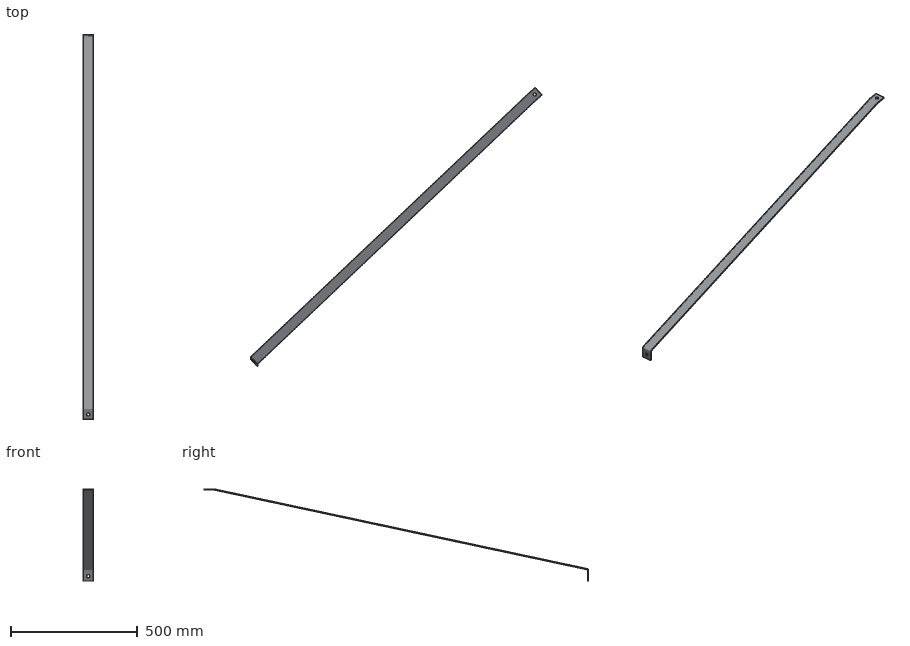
import cadquery as cq
import math

LENGTH = 1520.0
HEIGHT = 365.0
WIDTH = 40.0

THICKNESS = 5.0
INNER_BEND_RADIUS = 2.3
TAB_LENGTH = 41.0
LEG_HEIGHT = 49.0

HOLE_DIAMETER = 12.0
HOLE_END_DISTANCE = 20.0

front_y = -LENGTH / 2
back_y = LENGTH / 2
top_z = HEIGHT / 2
bottom_z = -HEIGHT / 2

tab_corner = (front_y + TAB_LENGTH, top_z)
leg_corner = (back_y, bottom_z + LEG_HEIGHT)
slope = math.atan2(tab_corner[1] - leg_corner[1], leg_corner[0] - tab_corner[0])

tab_inner_corner = (
    tab_corner[0] - THICKNESS * math.tan(slope / 2),
    top_z - THICKNESS,
)
leg_inner_y = back_y - THICKNESS
leg_inner_corner = (
    leg_inner_y,
    leg_corner[1] + THICKNESS * math.tan(slope) - THICKNESS / math.cos(slope),
)


def bent_bar():
    """Extrude the side profile across the width and round both bends."""
    bar = (
        cq.Workplane("YZ")
        .polyline([
            (front_y, top_z),
            tab_corner,
            leg_corner,
            (back_y, bottom_z),
            (leg_inner_y, bottom_z),
            leg_inner_corner,
            tab_inner_corner,
            (front_y, top_z - THICKNESS),
        ])
        .close()
        .extrude(WIDTH / 2, both=True)
    )
    outer_bend_radius = INNER_BEND_RADIUS + THICKNESS
    bends = [
        (tab_corner, outer_bend_radius),
        (tab_inner_corner, INNER_BEND_RADIUS),
        (leg_corner, outer_bend_radius),
        (leg_inner_corner, INNER_BEND_RADIUS),
    ]
    for (y, z), radius in bends:
        edge = cq.selectors.NearestToPointSelector((0, y, z))
        bar = bar.edges("|X").edges(edge).fillet(radius)
    return bar


def tab_hole():
    """Vertical bolt hole through the horizontal tab."""
    return (
        cq.Workplane("XY", origin=(0, front_y + HOLE_END_DISTANCE, top_z))
        .circle(HOLE_DIAMETER / 2)
        .extrude(-THICKNESS)
    )


def leg_hole():
    """Horizontal bolt hole through the vertical leg."""
    return (
        cq.Workplane("XZ", origin=(0, back_y, bottom_z + HOLE_END_DISTANCE))
        .circle(HOLE_DIAMETER / 2)
        .extrude(THICKNESS)
    )


result = bent_bar().cut(tab_hole()).cut(leg_hole())